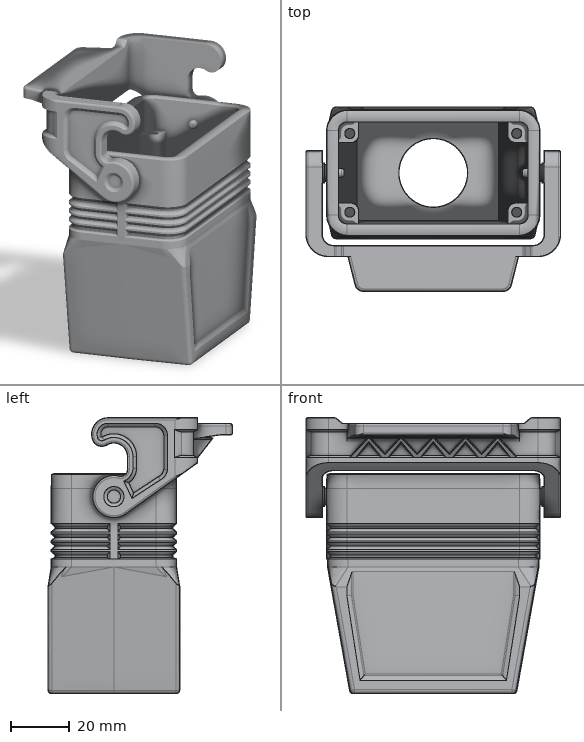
import cadquery as cq
import math


UPPER_HALF_X = 36.4
UPPER_HALF_Y = 21.4
UPPER_RADIUS = 7.0
BAND_HALF_X = 36.1
RIM_Z = 74.8
RIM_CROWN = 0.45
RIM_DRAFT_Z = 70.0
RIM_DRAFT = 0.6
BAND_Z = 43.3
SHOULDER_Z = 36.5
LOWER_HALF_Y = 22.5
LOWER_EDGE_RADIUS = 1.4
END_TAPER = 10.1
END_DRAFT = 1.0
GUSSET_TAPER = 15.2

GRIP_TOP = 58.2
GRIP_BOTTOM = 46.0
GRIP_DEPTH = 1.3
GRIP_RIB_TOP_Z = 54.9
GRIP_PITCH = 3.0
GRIP_RIB_COUNT = 3
GRIP_RIB_TIP = 0.6
GRIP_TOP_FLANK = 1.2
GRIP_BOTTOM_FLANK = 0.5
GRIP_STRIP = 2.8
GRIP_STRIP_FLARE = 0.8

PANEL_DEPTH = 0.85
PANEL_WALL = 1.8
PANEL_FILLET = 1.2
PANEL_BOTTOM_Z = 4.6
PANEL_KNEE_Z = 33.5
PANEL_BOTTOM_HALF_X = 25.0
PANEL_KNEE_HALF_X = 29.5

CAVITY_HALF_X = 32.4
CAVITY_HALF_Y = 17.4
CAVITY_RADIUS = 3.0
FLOOR_Z = 3.0
CAVITY_BEND_Z = 39.0
CAVITY_STRAIGHT_Z = 63.6
BEND_RIGHT_X = 28.7
FLOOR_LEFT_X = -26.0
FLOOR_RIGHT_X = 22.2
FLOOR_FRONT_Y = -16.3
BEND_FRONT_Y = -16.9
CABLE_HOLE_DIA = 23.4
POST_TOP_Z = CAVITY_STRAIGHT_Z
POST_INNER_X = 25.5
POST_INNER_Y = 10.3
POST_RADIUS = 2.6
SCREW_X = 28.5
SCREW_Y = 13.45
SCREW_DIA = 3.4
SCREW_DEPTH = 12.0

HINGE_Z = 67.3
HINGE_RADIUS = 7.2
PIN_DIA = 6.8
PIN_NECK_DIA = 5.8
PIN_COLLAR = 0.8
PIN_TIP_DIA = 3.0
PIN_TIP_X = 30.4
PIN_TIP_ROUND = 0.9
DIMPLE_DIA = 6.9
DIMPLE_FLOOR_DIA = 4.5
DIMPLE_DEPTH = 0.9
LEVER_HALF_X = 43.5
ARM_THICKNESS = 5.6
BAR_FRONT_Y = -28.6
BAR_THICKNESS = 3.8
LEVER_RADIUS = 7.75
LEVER_INNER_RADIUS = 3.8
LEVER_TOP_Z = 94.25
LEVER_EDGE_RADIUS = 0.7
BAR_BOTTOM_Z = 78.9
THROAT_Z = 81.0
THROAT_RADIUS = 4.6
THROAT_FILLET = 2.3
TIP_Y = 4.1
TIP_RADIUS = 3.4
TIP_Z = THROAT_Z + math.sqrt((THROAT_RADIUS + TIP_RADIUS) ** 2 - TIP_Y ** 2)
HOOK_RADIUS = 5.65
HOOK_Z = LEVER_TOP_Z - HOOK_RADIUS
HOOK_Y = TIP_Y - math.sqrt((HOOK_RADIUS - TIP_RADIUS) ** 2 - (HOOK_Z - TIP_Z) ** 2)

POCKET_DEPTH = 1.5
POCKET_DRAFT = 40.0
POCKET_MARGIN = 1.9
POCKET_FRONT_Y = -18.3
POCKET_CORNER_RADIUS = 4.2
POCKET_FRONT_LOW_Z = 76.6
POCKET_BEND_MID = (-17.6, 74.6)
POCKET_BEND = (-15.8, 73.0)
POCKET_POINT = (-6.2, 66.7)
POCKET_HEEL = (-3.4, 72.6)
POCKET_HEEL_MID = (-5.8, 74.6)
POCKET_BACK_LOW_Z = 77.0

TAB_TOP_Z = 92.3
TAB_EDGE_Z = 88.4
TAB_ROOT_Z = 87.2
TAB_ROOT_RADIUS = 0.9
TAB_FRONT_Y = -40.5
TAB_FLAT_Y = -36.6
TAB_ROOT_HALF_X = 29.6
TAB_FRONT_HALF_X = 26.1
TAB_CORNER_RADIUS = 3.0
TAB_EDGE_RADIUS = 0.9
TAB_LOWER_EDGE_RADIUS = 0.6
NOTCH_TOP_HALF_X = 33.4
NOTCH_FLOOR_HALF_X = 31.0
NOTCH_RADIUS = 1.0
RECESS_DEPTH = 1.4
RECESS_TOP_Z = 90.2
RECESS_BOTTOM_Z = 80.6
RECESS_FLARE = 0.8
RECESS_END_Y = -20.7
RECESS_RAMP = 2.5
TRUSS_PITCH = 11.0
TRUSS_COUNT = 5
TRUSS_WIDTH = 1.9
TRUSS_DRAFT = 4.5
TRUSS_TOP_Z = 86.8
TRUSS_FRONT_Y = -33.8

OVERLAP = 0.5
CLEARANCE = 1.0



def rounded_rectangle(half_x, half_y, radius, z):
    """Sketch of a rounded rectangle lying at height z."""
    sketch = cq.Sketch().rect(2 * half_x, 2 * half_y).vertices().fillet(radius)
    return cq.Workplane("XY").workplane(offset=z).placeSketch(sketch)


def rounded_block(half_x, half_y, radius, z_low, z_high, taper=0):
    return rounded_rectangle(half_x, half_y, radius, z_low).extrude(z_high - z_low, taper=taper)


def rounded_loft(low, high, z_low, z_high):
    """Loft between two (half_x, half_y, radius) rounded rectangles."""
    sections = []
    for (half_x, half_y, radius), z in ((low, z_low), (high, z_high)):
        sketch = cq.Sketch().rect(2 * half_x, 2 * half_y).vertices().fillet(radius)
        sections.append(sketch.moved(cq.Location(cq.Vector(0, 0, z))))
    return cq.Workplane("XY").placeSketch(*sections).loft(ruled=True)


def block(x_range, y_range, z_range):
    size = [high - low for low, high in (x_range, y_range, z_range)]
    corner = (x_range[0], y_range[0], z_range[0])
    return cq.Workplane("XY").box(*size, centered=False).translate(corner)


def rectangle_loft(low_x, low_y, z_low, high_x, high_y, z_high):
    """Ruled loft between two sharp rectangles given as (min, max) ranges."""
    def wire(x_range, y_range, z):
        corners = [(x_range[i], y_range[j], z) for i, j in ((0, 0), (1, 0), (1, 1), (0, 1))]
        return cq.Wire.makePolygon([cq.Vector(*c) for c in corners], close=True)

    wires = [wire(low_x, low_y, z_low), wire(high_x, high_y, z_high)]
    return cq.Workplane(obj=cq.Solid.makeLoft(wires, True))


def on_circle(centre, radius, degrees):
    angle = math.radians(degrees)
    return (centre[0] + radius * math.cos(angle), centre[1] + radius * math.sin(angle))


def direction(start, end):
    """Direction from start to end, in degrees."""
    return math.degrees(math.atan2(end[1] - start[1], end[0] - start[0]))


def both_ends(body):
    return body.union(body.mirror("YZ"))



def end_half_x(z, taper=END_TAPER):
    """Half length of the tapering body at height z, on the middle plane."""
    return BAND_HALF_X - (BAND_Z - z) * math.tan(math.radians(taper))


def drafted_prism():
    """Tapering lower body whose end walls fold back slightly from the middle plane."""
    fall_back = LOWER_HALF_Y * math.tan(math.radians(END_DRAFT))

    def wire(z):
        middle = end_half_x(z)
        corner = middle - fall_back
        outline = [
            (middle, 0), (corner, LOWER_HALF_Y), (-corner, LOWER_HALF_Y),
            (-middle, 0), (-corner, -LOWER_HALF_Y), (corner, -LOWER_HALF_Y),
        ]
        return cq.Wire.makePolygon([cq.Vector(x, y, z) for x, y in outline], close=True)

    return cq.Workplane(obj=cq.Solid.makeLoft([wire(0), wire(BAND_Z)], True))


def lower_body():
    prism = drafted_prism()
    uprights = prism.edges("not(#Z)").edges(">Y or <Y")
    base_edges = prism.faces("<Z").edges()
    prism = uprights.add(base_edges).fillet(LOWER_EDGE_RADIUS)

    top = (BAND_HALF_X, UPPER_HALF_Y, UPPER_RADIUS)
    shoulder = (end_half_x(SHOULDER_Z), LOWER_HALF_Y, LOWER_EDGE_RADIUS)
    gusset = (end_half_x(SHOULDER_Z, GUSSET_TAPER), LOWER_HALF_Y, LOWER_EDGE_RADIUS)
    below_shoulder = block((-BAND_HALF_X, BAND_HALF_X), (-LOWER_HALF_Y, LOWER_HALF_Y), (0, SHOULDER_Z))
    envelope = rounded_loft(shoulder, top, SHOULDER_Z, BAND_Z).union(below_shoulder)
    gussets = rounded_loft(gusset, top, SHOULDER_Z, BAND_Z)
    return prism.intersect(envelope).union(gussets)


def grip_strip():
    """Upright strip that interrupts the ribs in the middle of the +X end."""
    foot_x = UPPER_HALF_X - GRIP_DEPTH
    inner_x = foot_x - OVERLAP
    half = GRIP_STRIP / 2
    foot_half = half + GRIP_STRIP_FLARE
    outline = [
        (inner_x, -foot_half), (foot_x, -foot_half), (UPPER_HALF_X, -half),
        (UPPER_HALF_X, half), (foot_x, foot_half), (inner_x, foot_half),
    ]
    strip = cq.Workplane("XY").workplane(offset=GRIP_BOTTOM).polyline(outline).close()
    return strip.extrude(GRIP_TOP - GRIP_BOTTOM)


def grip_ribs():
    """Core of the grip with its pointed ribs, filling the groove zone."""
    half_x = UPPER_HALF_X - GRIP_DEPTH
    half_y = UPPER_HALF_Y - GRIP_DEPTH
    radius = UPPER_RADIUS - GRIP_DEPTH
    flank = (GRIP_PITCH - GRIP_RIB_TIP) / 2
    slope = math.degrees(math.atan2(GRIP_DEPTH, flank))
    grip = rounded_block(half_x, half_y, radius, GRIP_BOTTOM, GRIP_TOP)
    for i in range(GRIP_RIB_COUNT):
        z = GRIP_RIB_TOP_Z - i * GRIP_PITCH
        tip = GRIP_RIB_TIP / 2
        rib = rounded_block(UPPER_HALF_X, UPPER_HALF_Y, UPPER_RADIUS, z - tip, z + tip)
        upper = rounded_block(UPPER_HALF_X, UPPER_HALF_Y, UPPER_RADIUS, z + tip, z + tip + flank, slope)
        lower = upper.mirror("XY", (0, 0, z))
        grip = grip.union(rib).union(upper).union(lower)
    top_wall = rounded_block(
        UPPER_HALF_X, UPPER_HALF_Y, UPPER_RADIUS, GRIP_TOP, GRIP_TOP + GRIP_TOP_FLANK,
        math.degrees(math.atan2(GRIP_DEPTH, GRIP_TOP_FLANK)),
    ).mirror("XY", (0, 0, GRIP_TOP))
    bottom_wall = rounded_block(
        UPPER_HALF_X, UPPER_HALF_Y, UPPER_RADIUS, GRIP_BOTTOM, GRIP_BOTTOM + GRIP_BOTTOM_FLANK,
        math.degrees(math.atan2(GRIP_DEPTH, GRIP_BOTTOM_FLANK)),
    )
    return grip.union(top_wall).union(bottom_wall).union(both_ends(grip_strip()))


def upper_shell():
    band = rounded_block(BAND_HALF_X, UPPER_HALF_Y, UPPER_RADIUS, BAND_Z, GRIP_BOTTOM)
    plain = rounded_block(UPPER_HALF_X, UPPER_HALF_Y, UPPER_RADIUS, GRIP_TOP, RIM_DRAFT_Z)
    rim = rounded_block(UPPER_HALF_X, UPPER_HALF_Y, UPPER_RADIUS, RIM_DRAFT_Z, RIM_Z, RIM_DRAFT)
    return band.union(grip_ribs()).union(plain).union(rim)


def rim_crown():
    """Domed bead running round the top of the rim."""
    drafted_height = RIM_Z - RIM_DRAFT_Z
    outer_x = UPPER_HALF_X - drafted_height * math.tan(math.radians(RIM_DRAFT))
    half_width = (outer_x - CAVITY_HALF_X) / 2
    path_x = CAVITY_HALF_X + half_width
    path_y = CAVITY_HALF_Y + half_width
    path = rounded_block(path_x, path_y, CAVITY_RADIUS + half_width, RIM_Z, RIM_Z + RIM_CROWN)
    path = path.faces("<Z").wires()
    dome = (
        cq.Workplane("YZ")
        .moveTo(-path_y - half_width, RIM_Z - OVERLAP)
        .lineTo(-path_y - half_width, RIM_Z)
        .threePointArc((-path_y, RIM_Z + RIM_CROWN), (-path_y + half_width, RIM_Z))
        .lineTo(-path_y + half_width, RIM_Z - OVERLAP)
        .close()
    )
    return dome.sweep(path)


def label_panel():
    """Cutter for the trapezoidal panel in the -Y side; its walls slope inwards."""
    slope = math.degrees(math.atan2(PANEL_WALL, PANEL_DEPTH))
    widen = CLEARANCE * PANEL_WALL / PANEL_DEPTH
    top_z = (BAND_Z + GRIP_BOTTOM) / 2
    outline = [
        (PANEL_BOTTOM_HALF_X, PANEL_BOTTOM_Z),
        (PANEL_KNEE_HALF_X, PANEL_KNEE_Z),
        (PANEL_KNEE_HALF_X, top_z),
    ]
    mirrored = [(-x, z) for x, z in reversed(outline)]
    return (
        cq.Workplane("XZ", origin=(0, -LOWER_HALF_Y - CLEARANCE, 0))
        .polyline(outline + mirrored).close().offset2D(widen, "intersection")
        .extrude(-PANEL_DEPTH - CLEARANCE, taper=slope)
        .faces(">Y").edges().fillet(PANEL_FILLET)
    )



def cavity():
    full_x = (-CAVITY_HALF_X, CAVITY_HALF_X)
    full_y = (-CAVITY_HALF_Y, CAVITY_HALF_Y)
    floor_x = (FLOOR_LEFT_X, FLOOR_RIGHT_X)
    floor_y = (FLOOR_FRONT_Y, CAVITY_HALF_Y)
    bend_x = (-CAVITY_HALF_X, BEND_RIGHT_X)
    bend_y = (BEND_FRONT_Y, CAVITY_HALF_Y)
    top_z = RIM_Z + CLEARANCE
    space = rectangle_loft(floor_x, floor_y, FLOOR_Z, bend_x, bend_y, CAVITY_BEND_Z)
    space = space.union(rectangle_loft(bend_x, bend_y, CAVITY_BEND_Z, full_x, full_y, CAVITY_STRAIGHT_Z))
    space = space.union(block(full_x, full_y, (CAVITY_STRAIGHT_Z, top_z)))
    return space.intersect(rounded_block(CAVITY_HALF_X, CAVITY_HALF_Y, CAVITY_RADIUS, FLOOR_Z, top_z))


def screw_posts():
    """Four corner posts standing in the cavity; they are trimmed to the cavity space."""
    frame = block(
        (-CAVITY_HALF_X, CAVITY_HALF_X), (-CAVITY_HALF_Y, CAVITY_HALF_Y), (FLOOR_Z, POST_TOP_Z)
    )
    reach_x = CAVITY_HALF_X - POST_INNER_X
    reach_y = CAVITY_HALF_Y - POST_INNER_Y
    post = block(
        (POST_INNER_X, POST_INNER_X + 2 * reach_x), (POST_INNER_Y, POST_INNER_Y + 2 * reach_y),
        (FLOOR_Z, POST_TOP_Z),
    )
    post = post.edges("|Z").fillet(POST_RADIUS)
    pair = both_ends(post)
    return pair.union(pair.mirror("XZ")).intersect(frame)


def hollow(hood):
    hood = hood.cut(cavity().cut(screw_posts()))
    screws = (
        cq.Workplane("XY").workplane(offset=POST_TOP_Z - SCREW_DEPTH)
        .rect(2 * SCREW_X, 2 * SCREW_Y, forConstruction=True).vertices()
        .circle(SCREW_DIA / 2).extrude(SCREW_DEPTH)
    )
    cable_hole = cq.Workplane("XY").circle(CABLE_HOLE_DIA / 2).extrude(2 * FLOOR_Z)
    return hood.cut(screws).cut(cable_hole)


def make_hood():
    hood = lower_body().union(upper_shell())
    panel = label_panel()
    hood = hood.cut(panel).cut(panel.mirror("XZ"))
    return hollow(hood).union(rim_crown())



def lever_profile():
    """Side outline of the lever, drawn in (Y, Z)."""
    hinge = (0, HINGE_Z)
    throat = (0, THROAT_Z)
    tip = (TIP_Y, TIP_Z)
    hook = (HOOK_Y, HOOK_Z)
    bar_bottom = (BAR_FRONT_Y, BAR_BOTTOM_Z)

    reach = math.hypot(bar_bottom[0], bar_bottom[1] - HINGE_Z)
    tangent_angle = direction(hinge, bar_bottom) + math.degrees(math.acos(HINGE_RADIUS / reach))
    tangent = on_circle(hinge, HINGE_RADIUS, tangent_angle)

    fillet_y = -THROAT_RADIUS + THROAT_FILLET
    rise = math.sqrt((HINGE_RADIUS + THROAT_FILLET) ** 2 - fillet_y ** 2)
    fillet = (fillet_y, HINGE_Z + rise)
    hinge_end_angle = direction(hinge, fillet)
    hinge_end = on_circle(hinge, HINGE_RADIUS, hinge_end_angle)
    fillet_mid_angle = (180 + direction(fillet, hinge) % 360) / 2

    throat_end_angle = direction(throat, tip)
    throat_end = on_circle(throat, THROAT_RADIUS, throat_end_angle)
    tip_start_angle = throat_end_angle - 180
    tip_end_angle = direction(hook, tip)

    return (
        cq.Workplane("YZ")
        .moveTo(*bar_bottom)
        .lineTo(*tangent)
        .threePointArc(on_circle(hinge, HINGE_RADIUS, 0), hinge_end)
        .threePointArc(on_circle(fillet, THROAT_FILLET, fillet_mid_angle), (-THROAT_RADIUS, fillet[1]))
        .lineTo(-THROAT_RADIUS, THROAT_Z)
        .threePointArc(on_circle(throat, THROAT_RADIUS, (180 + throat_end_angle) / 2), throat_end)
        .threePointArc(
            on_circle(tip, TIP_RADIUS, (tip_start_angle + tip_end_angle) / 2),
            on_circle(tip, TIP_RADIUS, tip_end_angle),
        )
        .threePointArc(on_circle(hook, HOOK_RADIUS, (tip_end_angle + 90) / 2), (HOOK_Y, LEVER_TOP_Z))
        .lineTo(BAR_FRONT_Y, LEVER_TOP_Z)
        .close()
    )


def lever_plan(half_x, front_y, radius, z_low, z_high):
    """Block with two rounded front corners, open towards +Y."""
    back_y = HOOK_Y + 2 * HOOK_RADIUS
    return (
        block((-half_x, half_x), (front_y, back_y), (z_low, z_high))
        .edges("|Z and <Y").fillet(radius)
    )


def lever_bow():
    """The two arms joined by the cross bar."""
    arm_inner_x = LEVER_HALF_X - ARM_THICKNESS
    bar_back_y = BAR_FRONT_Y + BAR_THICKNESS
    z_low = HINGE_Z - HINGE_RADIUS
    bow = lever_plan(LEVER_HALF_X, BAR_FRONT_Y, LEVER_RADIUS, z_low, LEVER_TOP_Z)
    side_shape = lever_profile().extrude(LEVER_HALF_X, both=True)
    side_shape = side_shape.faces(">X or <X").edges().fillet(LEVER_EDGE_RADIUS)
    bow = bow.intersect(side_shape)
    return bow.cut(lever_plan(arm_inner_x, bar_back_y, LEVER_INNER_RADIUS, z_low, LEVER_TOP_Z))


def arm_pocket():
    """Cutter for the draft-walled pocket in the outside of the +X arm."""
    throat = (0, THROAT_Z)
    tip = (TIP_Y, TIP_Z)
    hook = (HOOK_Y, HOOK_Z)
    throat_radius = THROAT_RADIUS + POCKET_MARGIN
    tip_radius = TIP_RADIUS - POCKET_MARGIN
    hook_radius = HOOK_RADIUS - POCKET_MARGIN
    top_z = LEVER_TOP_Z - POCKET_MARGIN
    corner = (POCKET_FRONT_Y + POCKET_CORNER_RADIUS, top_z - POCKET_CORNER_RADIUS)
    throat_end_angle = direction(throat, tip)
    tip_start_angle = throat_end_angle - 180
    tip_end_angle = direction(hook, tip)
    return (
        cq.Workplane("YZ", origin=(LEVER_HALF_X, 0, 0))
        .moveTo(HOOK_Y, top_z)
        .lineTo(corner[0], top_z)
        .threePointArc(on_circle(corner, POCKET_CORNER_RADIUS, 135), (POCKET_FRONT_Y, corner[1]))
        .lineTo(POCKET_FRONT_Y, POCKET_FRONT_LOW_Z)
        .threePointArc(POCKET_BEND_MID, POCKET_BEND)
        .lineTo(*POCKET_POINT)
        .lineTo(*POCKET_HEEL)
        .threePointArc(POCKET_HEEL_MID, (-throat_radius, POCKET_BACK_LOW_Z))
        .lineTo(-throat_radius, THROAT_Z)
        .threePointArc(
            on_circle(throat, throat_radius, (180 + throat_end_angle) / 2),
            on_circle(throat, throat_radius, throat_end_angle),
        )
        .threePointArc(
            on_circle(tip, tip_radius, (tip_start_angle + tip_end_angle) / 2),
            on_circle(tip, tip_radius, tip_end_angle),
        )
        .threePointArc(on_circle(hook, hook_radius, (tip_end_angle + 90) / 2), (HOOK_Y, top_z))
        .close()
        .extrude(-POCKET_DEPTH, taper=POCKET_DRAFT)
    )


def hinge_dimple():
    """Conical dimple at the hinge, in the outside of the +X arm."""
    return (
        cq.Workplane("YZ", origin=(LEVER_HALF_X, 0, HINGE_Z))
        .circle(DIMPLE_DIA / 2)
        .workplane(offset=-DIMPLE_DEPTH)
        .circle(DIMPLE_FLOOR_DIA / 2)
        .loft(ruled=True)
    )


def bar_notch():
    """Cutter that lowers the middle of the cross bar to the level of the tab."""
    outline = [
        (-NOTCH_TOP_HALF_X, LEVER_TOP_Z), (NOTCH_TOP_HALF_X, LEVER_TOP_Z),
        (NOTCH_FLOOR_HALF_X, TAB_TOP_Z), (-NOTCH_FLOOR_HALF_X, TAB_TOP_Z),
    ]
    notch = cq.Workplane("XZ").polyline(outline).close().extrude(-BAR_FRONT_Y)
    return notch.faces("<Z").edges("|Y").fillet(NOTCH_RADIUS)


def notch_shoulders(bow):
    """Round the upper corners of the notch."""
    front_y = BAR_FRONT_Y - OVERLAP
    back_y = BAR_FRONT_Y + BAR_THICKNESS + OVERLAP
    for sx in (-1, 1):
        x = sx * NOTCH_TOP_HALF_X
        corner = cq.selectors.BoxSelector(
            (x - OVERLAP, front_y, LEVER_TOP_Z - OVERLAP), (x + OVERLAP, back_y, LEVER_TOP_Z + OVERLAP)
        )
        bow = bow.edges(corner).edges("|Y").fillet(NOTCH_RADIUS)
    return bow


def bar_recess():
    """Cutter for the shallow recess along the front and round both corners of the bar."""
    waist = lever_plan(
        LEVER_HALF_X - RECESS_DEPTH, BAR_FRONT_Y + RECESS_DEPTH,
        LEVER_RADIUS - RECESS_DEPTH, RECESS_BOTTOM_Z, RECESS_TOP_Z,
    )
    flare_slope = math.degrees(math.atan2(RECESS_DEPTH, RECESS_FLARE))
    lower_flare = (
        lever_plan(LEVER_HALF_X, BAR_FRONT_Y, LEVER_RADIUS, RECESS_BOTTOM_Z, RECESS_TOP_Z)
        .faces("<Z").wires().toPending().workplane(invert=True)
        .extrude(RECESS_FLARE, taper=flare_slope, combine=False)
    )
    upper_flare = lower_flare.mirror("XY", (0, 0, (RECESS_BOTTOM_Z + RECESS_TOP_Z) / 2))
    ramp_x = LEVER_HALF_X - RECESS_DEPTH - OVERLAP
    ramp_y = RECESS_END_Y - RECESS_RAMP
    zone = (
        cq.Workplane("XY").workplane(offset=RECESS_BOTTOM_Z)
        .polyline([
            (LEVER_HALF_X, BAR_FRONT_Y), (LEVER_HALF_X, RECESS_END_Y), (ramp_x, ramp_y),
            (-ramp_x, ramp_y), (-LEVER_HALF_X, RECESS_END_Y), (-LEVER_HALF_X, BAR_FRONT_Y),
        ])
        .close().extrude(RECESS_TOP_Z - RECESS_BOTTOM_Z)
    )
    return zone.cut(waist).cut(lower_flare).cut(upper_flare)


def thumb_tab():
    root_y = BAR_FRONT_Y + RECESS_DEPTH + OVERLAP
    plan = (
        cq.Workplane("XY").workplane(offset=TAB_ROOT_Z - TAB_ROOT_RADIUS)
        .polyline([
            (-TAB_ROOT_HALF_X, root_y), (TAB_ROOT_HALF_X, root_y),
            (TAB_FRONT_HALF_X, TAB_FRONT_Y), (-TAB_FRONT_HALF_X, TAB_FRONT_Y),
        ])
        .close().extrude(TAB_TOP_Z - TAB_ROOT_Z + TAB_ROOT_RADIUS)
        .edges("|Z and <Y").fillet(TAB_CORNER_RADIUS)
        .faces(">Z").edges("not >Y").fillet(TAB_EDGE_RADIUS)
    )
    face_y = BAR_FRONT_Y + RECESS_DEPTH
    profile = (
        cq.Workplane("YZ")
        .moveTo(root_y, TAB_TOP_Z)
        .lineTo(TAB_FRONT_Y, TAB_TOP_Z)
        .lineTo(TAB_FRONT_Y, TAB_EDGE_Z)
        .lineTo(TAB_FLAT_Y, TAB_EDGE_Z)
        .lineTo(face_y - TAB_ROOT_RADIUS, TAB_ROOT_Z)
        .radiusArc((face_y, TAB_ROOT_Z - TAB_ROOT_RADIUS), TAB_ROOT_RADIUS)
        .lineTo(root_y, TAB_ROOT_Z - TAB_ROOT_RADIUS)
        .close().extrude(TAB_ROOT_HALF_X, both=True)
        .faces("<Y").edges("<Z").fillet(TAB_LOWER_EDGE_RADIUS)
    )
    return plan.intersect(profile)


def truss_ribs():
    """Zigzag of ribs propping the tab against the recessed face of the bar."""
    back_y = BAR_FRONT_Y + RECESS_DEPTH + OVERLAP
    ceiling_z = TAB_EDGE_Z
    envelope = (
        cq.Workplane("YZ")
        .polyline([
            (back_y, ceiling_z), (TRUSS_FRONT_Y, ceiling_z), (TRUSS_FRONT_Y, TRUSS_TOP_Z + OVERLAP),
            (BAR_FRONT_Y, RECESS_BOTTOM_Z), (back_y, RECESS_BOTTOM_Z),
        ])
        .close().extrude(TAB_ROOT_HALF_X, both=True)
    )
    half_pitch = TRUSS_PITCH / 2
    length = math.hypot(half_pitch, TRUSS_TOP_Z - RECESS_BOTTOM_Z) + TRUSS_WIDTH
    lean = math.degrees(math.atan2(TRUSS_TOP_Z - RECESS_BOTTOM_Z, half_pitch))
    centre_z = (TRUSS_TOP_Z + RECESS_BOTTOM_Z) / 2
    depth = back_y - TRUSS_FRONT_Y
    ribs = None
    for i in range(TRUSS_COUNT):
        apex_x = (i - (TRUSS_COUNT - 1) / 2) * TRUSS_PITCH
        for side in (-1, 1):
            rib = (
                cq.Workplane("XZ").rect(length, TRUSS_WIDTH).extrude(depth, taper=TRUSS_DRAFT)
                .rotate((0, 0, 0), (0, 1, 0), side * lean)
                .translate((apex_x + side * half_pitch / 2, back_y, centre_z))
            )
            ribs = rib if ribs is None else ribs.union(rib)
    return ribs.intersect(envelope)


def hinge_pin():
    """Pin through the +X wall of the hood, from the lever arm into the cavity."""
    def rod(diameter, x_low, x_high):
        return (
            cq.Workplane("YZ", origin=(x_low, 0, HINGE_Z))
            .circle(diameter / 2).extrude(x_high - x_low)
        )

    arm_x = LEVER_HALF_X - ARM_THICKNESS
    pin = rod(PIN_DIA, arm_x - PIN_COLLAR, arm_x + OVERLAP)
    pin = pin.union(rod(PIN_NECK_DIA, UPPER_HALF_X - OVERLAP, arm_x))
    tip = rod(PIN_TIP_DIA, PIN_TIP_X, UPPER_HALF_X).faces("<X").edges().fillet(PIN_TIP_ROUND)
    return pin.union(tip)


def make_lever():
    lever = lever_bow()
    lever = lever.cut(both_ends(arm_pocket())).cut(both_ends(hinge_dimple()))
    lever = notch_shoulders(lever.cut(bar_notch())).cut(bar_recess())
    lever = lever.union(thumb_tab()).union(truss_ribs())
    return lever.union(both_ends(hinge_pin()))


result = make_hood().union(make_lever())